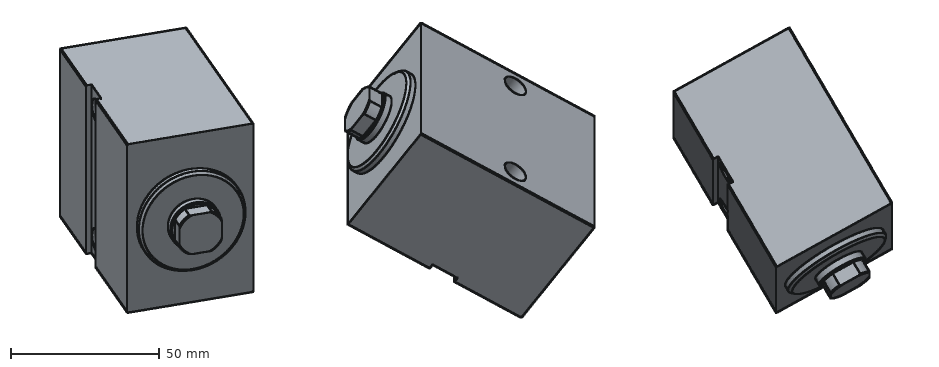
import cadquery as cq


housing_length = 70.0
housing_depth = 45.0
housing_height = 65.0
edge_chamfer = 0.3

slot_width = 10.0
slot_depth = 2.0
slot_center_x = 32.0
mounting_hole_diameter = 8.5
mounting_hole_spacing = 50.0

gland_diameter = 38.0
gland_length = 3.0
gland_chamfer = 1.0

rod_diameter = 18.0
rod_chamfer = 0.5
rod_shoulder_exposed = 3.0
rod_tip_diameter = rod_diameter - 2 * rod_chamfer
rod_tip_length = 5.0
rod_tip_chamfer = 0.3
rod_across_flats = 15.0

gland_end_x = housing_length + gland_length
shoulder_end_x = gland_end_x + rod_shoulder_exposed
rod_end_x = shoulder_end_x + rod_tip_length


def revolve_about_rod_axis(outline):
    """Turn a closed outline of (x, radius) points about the X axis."""
    return cq.Workplane("XY").polyline(outline).close().revolve(360, (0, 0, 0), (1, 0, 0))


def make_housing():
    block = (
        cq.Workplane("XY")
        .box(housing_length, housing_depth, housing_height, centered=(False, True, True))
        .edges("|X")
        .chamfer(edge_chamfer)
    )
    front_y = -housing_depth / 2
    slot = cq.Workplane("XY").box(slot_width, 2 * slot_depth, housing_height)
    block = block.cut(slot.translate((slot_center_x, front_y, 0)))

    holes = (
        cq.Workplane("XZ")
        .pushPoints([(slot_center_x, side * mounting_hole_spacing / 2) for side in (-1, 1)])
        .circle(mounting_hole_diameter / 2)
        .extrude(housing_depth / 2, both=True)
    )
    return block.cut(holes)


def make_gland():
    bore_radius = rod_diameter / 2
    outer_radius = gland_diameter / 2
    return revolve_about_rod_axis([
        (housing_length, bore_radius),
        (housing_length, outer_radius),
        (gland_end_x - gland_chamfer, outer_radius),
        (gland_end_x, outer_radius - gland_chamfer),
        (gland_end_x, bore_radius),
    ])


def make_rod():
    shoulder_radius = rod_diameter / 2
    shoulder = revolve_about_rod_axis([
        (housing_length, 0),
        (housing_length, shoulder_radius),
        (shoulder_end_x - rod_chamfer, shoulder_radius),
        (shoulder_end_x, shoulder_radius - rod_chamfer),
        (shoulder_end_x, 0),
    ])
    tip_radius = rod_tip_diameter / 2
    tip = revolve_about_rod_axis([
        (shoulder_end_x, 0),
        (shoulder_end_x, tip_radius),
        (rod_end_x - rod_tip_chamfer, tip_radius),
        (rod_end_x, tip_radius - rod_tip_chamfer),
        (rod_end_x, 0),
    ])
    wrench_square = (
        cq.Workplane("YZ", origin=(shoulder_end_x, 0, 0))
        .rect(rod_across_flats, rod_across_flats)
        .extrude(rod_tip_length)
    )
    return shoulder.union(tip.intersect(wrench_square))


housing = make_housing()
gland = make_gland()
rod = make_rod()

result = cq.Compound.makeCompound([housing.solids().val(), gland.val(), rod.solids().val()])